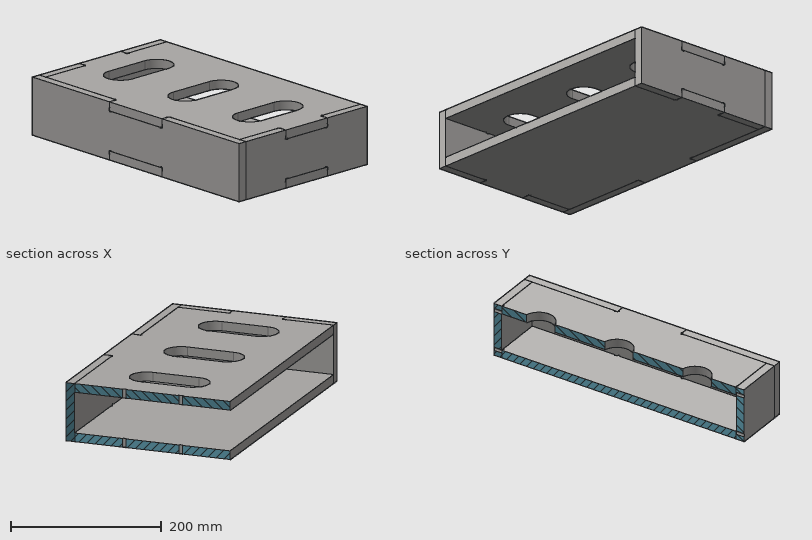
import cadquery as cq
import math


BOX_WIDTH = 398.78
BOX_DEPTH = 234.95
BOX_HEIGHT = 81.28
SHEET = 12.7
FRONT_TAB_WIDTH = 101.6
SIDE_TAB_WIDTH = 76.2
RELIEF_RADIUS = 3.175
SLOT_LENGTH = 111.76
SLOT_WIDTH = 45.72
SLOT_COUNT = 3

INNER_WIDTH = BOX_WIDTH - 2 * SHEET
INNER_DEPTH = BOX_DEPTH - SHEET
FRONT_Y = -BOX_DEPTH / 2
INNER_CENTER_Y = FRONT_Y + SHEET + INNER_DEPTH / 2
SLOT_PITCH = INNER_WIDTH / SLOT_COUNT
RELIEF_OFFSET = RELIEF_RADIUS / math.sqrt(2)


def box(width, depth, height, x, y, z):
    """A box centred at x, y that stands on height z."""
    return cq.Workplane("XY").box(width, depth, height, centered=(True, True, False)).translate((x, y, z))


def horizontal_panel(base_z):
    """A top or bottom panel with one tab into the front panel and one into each side panel."""
    panel = box(INNER_WIDTH, INNER_DEPTH, SHEET, 0, INNER_CENTER_Y, base_z)
    front_tab = box(FRONT_TAB_WIDTH, SHEET, SHEET, 0, FRONT_Y + SHEET / 2, base_z)
    side_tabs = box(BOX_WIDTH, SIDE_TAB_WIDTH, SHEET, 0, INNER_CENTER_Y, base_z)
    panel = panel.union(front_tab).union(side_tabs)

    front_root_y = FRONT_Y + SHEET
    relief_centers = []
    for side in (-1, 1):
        front_relief_x = side * (FRONT_TAB_WIDTH / 2 + RELIEF_OFFSET)
        relief_centers.append((front_relief_x, front_root_y - RELIEF_OFFSET))
        side_relief_x = side * (INNER_WIDTH / 2 + RELIEF_OFFSET)
        for end in (-1, 1):
            side_relief_y = INNER_CENTER_Y + end * (SIDE_TAB_WIDTH / 2 + RELIEF_OFFSET)
            relief_centers.append((side_relief_x, side_relief_y))
    reliefs = (
        cq.Workplane("XY")
        .workplane(offset=base_z)
        .pushPoints(relief_centers)
        .circle(RELIEF_RADIUS)
        .extrude(SHEET)
    )
    return panel.cut(reliefs)


def hand_slots():
    """The row of round-ended slots through the top panel, running front to back."""
    return (
        cq.Workplane("XY")
        .workplane(offset=BOX_HEIGHT - SHEET)
        .center(0, INNER_CENTER_Y)
        .rarray(SLOT_PITCH, 1, SLOT_COUNT, 1)
        .slot2D(SLOT_LENGTH, SLOT_WIDTH, 90)
        .extrude(SHEET)
    )


def upright_panel(length, notch_width):
    """A panel along X, centred on Y = 0, notched at the middle of its top and bottom edges."""
    panel = box(length, SHEET, BOX_HEIGHT, 0, 0, 0)
    for notch_z in (0, BOX_HEIGHT - SHEET):
        panel = panel.cut(box(notch_width, SHEET, SHEET, 0, 0, notch_z))

    relief_x = notch_width / 2 - RELIEF_OFFSET
    relief_z = SHEET - RELIEF_OFFSET
    relief_centers = [(x, z) for x in (-relief_x, relief_x) for z in (relief_z, BOX_HEIGHT - relief_z)]
    reliefs = (
        cq.Workplane("XZ")
        .pushPoints(relief_centers)
        .circle(RELIEF_RADIUS)
        .extrude(SHEET / 2, both=True)
    )
    return panel.cut(reliefs)


def side_panel(side):
    """The left (side = -1) or right (side = 1) panel, butted against the back of the front panel."""
    panel = upright_panel(INNER_DEPTH, SIDE_TAB_WIDTH).rotate((0, 0, 0), (0, 0, 1), 90)
    return panel.translate((side * (BOX_WIDTH - SHEET) / 2, INNER_CENTER_Y, 0))


bottom_panel = horizontal_panel(0)
top_panel = horizontal_panel(BOX_HEIGHT - SHEET).cut(hand_slots())
front_panel = upright_panel(BOX_WIDTH, FRONT_TAB_WIDTH).translate((0, FRONT_Y + SHEET / 2, 0))
side_panels = [side_panel(side) for side in (-1, 1)]

result = cq.Compound.makeCompound(
    [
        bottom_panel.val(),
        top_panel.val(),
        front_panel.val(),
        *[panel.val() for panel in side_panels],
    ]
)